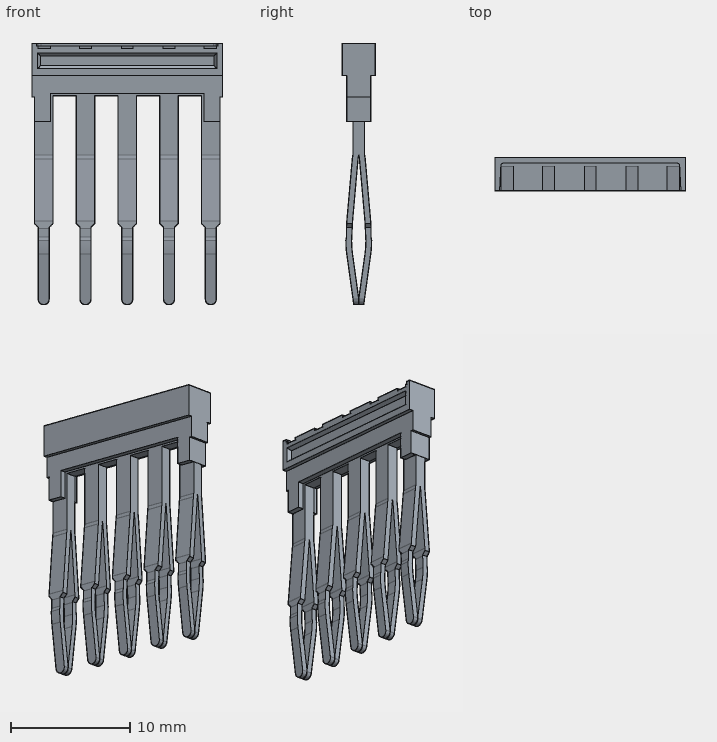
import cadquery as cq
import math


LENGTH = 16.0
HEAD_DEPTH = 2.8
HEAD_HEIGHT = 2.7
BODY_DEPTH = 2.04
BODY_BOTTOM = -4.22
STEP_Z = -4.5
LEG_BOTTOM = -6.55
LEG_INNER_X = 6.45

TRAY_DEPTH = 0.22
TRAY_BACK_Y = 0.93
TRAY_BACK_HALF = 7.48
TRAY_FRONT_HALF = 7.6
TRAY_CORNER_RADIUS = 0.25

GROOVE_WIDTH = 1.0
GROOVE_BACK_Y = 0.65
GROOVE_FRONT_DEPTH = 0.22

WINDOW_LENGTH = 15.0
WINDOW_TOP = -0.82
WINDOW_BOTTOM = -2.1
WINDOW_INSET = 0.23
WINDOW_DEPTH = 0.33

CONTACTS = 5
PITCH = 3.5
COMB_THICKNESS = 1.0
COMB_BOTTOM = -21.9
SPINE_TOP = -HEAD_HEIGHT
SPINE_BOTTOM = -4.39
BLADE_WIDTH = 1.56
TIP_WIDTH = 0.93
SHOULDER_TOP = -15.1
END_WALL = 0.3

ARM_THICKNESS = COMB_THICKNESS / 2
SPLIT_Z = -9.35
SPREAD_Z = -9.68
SPREAD_Y = 0.55
BLADE_END_Z = -14.9
BLADE_END_Y = 1.01
WAIST_Z = -15.5
WAIST_Y = 1.04
BULGE_START_Z = -16.24
BULGE_Z = -16.53
BULGE_Y = 1.09
CURVE_END_Z = -17.65
CLOSING_ANGLE = math.radians(7.9)
ARM_HALF_GAP = 0.02

half_length = LENGTH / 2
contact_xs = [(i - (CONTACTS - 1) / 2) * PITCH for i in range(CONTACTS)]
comb_half = contact_xs[-1] + BLADE_WIDTH / 2


def box(x0, x1, y0, y1, z0, z1):
    """A box between two opposite corners."""
    return cq.Workplane("XY").box(x1 - x0, y1 - y0, z1 - z0, centered=False).translate((x0, y0, z0))


def contact_outline(x):
    """Front shape of one contact: stem and blade, tapered shoulder, narrow tip with a round end."""
    blade = BLADE_WIDTH / 2
    tip = TIP_WIDTH / 2
    shoulder_bottom = SHOULDER_TOP - (blade - tip)
    round_z = COMB_BOTTOM + tip
    return (
        cq.Workplane("XZ")
        .moveTo(x - blade, SPINE_TOP)
        .lineTo(x + blade, SPINE_TOP)
        .lineTo(x + blade, SHOULDER_TOP)
        .lineTo(x + tip, shoulder_bottom)
        .lineTo(x + tip, round_z)
        .threePointArc((x, COMB_BOTTOM), (x - tip, round_z))
        .lineTo(x - tip, shoulder_bottom)
        .lineTo(x - blade, SHOULDER_TOP)
        .close()
        .extrude(HEAD_DEPTH / 2, both=True)
    )


def arm_side():
    """Side shape of the +Y arm with its half of the stem, extruded over the comb length."""
    radius = (BULGE_Z - CURVE_END_Z) / math.sin(CLOSING_ANGLE)

    def on_curve(angle, offset):
        y = BULGE_Y + offset - radius * (1 - math.cos(angle))
        return y, BULGE_Z - radius * math.sin(angle)

    curve_middle = on_curve(CLOSING_ANGLE / 2, 0)
    curve_end = on_curve(CLOSING_ANGLE, 0)
    inner_middle = on_curve(CLOSING_ANGLE / 2, -ARM_THICKNESS)
    inner_end = on_curve(CLOSING_ANGLE, -ARM_THICKNESS)
    closing_slope = math.tan(CLOSING_ANGLE)
    tip_y = curve_end[0] - (CURVE_END_Z - COMB_BOTTOM) * closing_slope
    meeting_z = inner_end[1] - (inner_end[0] - ARM_HALF_GAP) / closing_slope
    return (
        cq.Workplane("YZ")
        .moveTo(0, SPINE_TOP)
        .lineTo(COMB_THICKNESS / 2, SPINE_TOP)
        .lineTo(COMB_THICKNESS / 2, SPLIT_Z)
        .lineTo(SPREAD_Y, SPREAD_Z)
        .lineTo(BLADE_END_Y, BLADE_END_Z)
        .lineTo(WAIST_Y, WAIST_Z)
        .lineTo(WAIST_Y, BULGE_START_Z)
        .lineTo(BULGE_Y, BULGE_Z)
        .threePointArc(curve_middle, curve_end)
        .lineTo(tip_y, COMB_BOTTOM)
        .lineTo(ARM_HALF_GAP, COMB_BOTTOM)
        .lineTo(ARM_HALF_GAP, meeting_z)
        .lineTo(*inner_end)
        .threePointArc(inner_middle, (BULGE_Y - ARM_THICKNESS, BULGE_Z))
        .lineTo(WAIST_Y - ARM_THICKNESS, WAIST_Z)
        .lineTo(BLADE_END_Y - ARM_THICKNESS, BLADE_END_Z)
        .lineTo(SPREAD_Y - ARM_THICKNESS, SPREAD_Z)
        .lineTo(0, SPLIT_Z)
        .close()
        .extrude(half_length, both=True)
    )


def make_comb():
    arm = arm_side()
    side = arm.union(arm.mirror("XZ"))
    half_thickness = COMB_THICKNESS / 2
    comb = box(-comb_half, comb_half, -half_thickness, half_thickness, SPINE_BOTTOM, SPINE_TOP)
    for x in contact_xs:
        comb = comb.union(contact_outline(x).intersect(side))
    inner_half = comb_half - END_WALL
    for x0, x1 in [(-comb_half, -inner_half), (inner_half, comb_half)]:
        comb = comb.cut(box(x0, x1, -half_thickness, half_thickness, LEG_BOTTOM, SPINE_TOP))
    return comb


def housing_block():
    """Head, thinner body below it and the two end legs."""
    half_head = HEAD_DEPTH / 2
    half_body = BODY_DEPTH / 2
    head = box(-half_length, half_length, -half_head, half_head, -HEAD_HEIGHT, 0)
    body = (
        cq.Workplane("XZ")
        .moveTo(-half_length, -HEAD_HEIGHT)
        .lineTo(half_length, -HEAD_HEIGHT)
        .lineTo(half_length, STEP_Z)
        .lineTo(comb_half, STEP_Z)
        .lineTo(comb_half, LEG_BOTTOM)
        .lineTo(LEG_INNER_X, LEG_BOTTOM)
        .lineTo(LEG_INNER_X, BODY_BOTTOM)
        .lineTo(-LEG_INNER_X, BODY_BOTTOM)
        .lineTo(-LEG_INNER_X, LEG_BOTTOM)
        .lineTo(-comb_half, LEG_BOTTOM)
        .lineTo(-comb_half, STEP_Z)
        .lineTo(-half_length, STEP_Z)
        .close()
        .extrude(half_body, both=True)
    )
    return head.union(body)


def tray():
    """Shallow recess in the top, slightly wider at its open front."""
    front = -HEAD_DEPTH / 2
    return (
        cq.Workplane("XY")
        .moveTo(-TRAY_FRONT_HALF, front)
        .lineTo(TRAY_FRONT_HALF, front)
        .lineTo(TRAY_BACK_HALF, TRAY_BACK_Y)
        .lineTo(-TRAY_BACK_HALF, TRAY_BACK_Y)
        .close()
        .extrude(-TRAY_DEPTH)
        .edges("|Z and >Y")
        .fillet(TRAY_CORNER_RADIUS)
    )


def groove(x0, x1):
    """Wedge below the tray floor, deepest at the front."""
    front = -HEAD_DEPTH / 2
    return (
        cq.Workplane("YZ", origin=(x0, 0, 0))
        .moveTo(GROOVE_BACK_Y, -TRAY_DEPTH)
        .lineTo(front, -TRAY_DEPTH)
        .lineTo(front, -TRAY_DEPTH - GROOVE_FRONT_DEPTH)
        .close()
        .extrude(x1 - x0)
    )


def window():
    """Long pocket in the front face that narrows towards its floor."""
    height = WINDOW_TOP - WINDOW_BOTTOM
    middle_z = (WINDOW_TOP + WINDOW_BOTTOM) / 2
    return (
        cq.Workplane("XZ", origin=(0, -HEAD_DEPTH / 2, middle_z))
        .rect(WINDOW_LENGTH, height)
        .workplane(offset=-WINDOW_DEPTH)
        .rect(WINDOW_LENGTH - 2 * WINDOW_INSET, height - 2 * WINDOW_INSET)
        .loft(ruled=True)
    )


def make_housing(comb):
    housing = housing_block().cut(tray()).cut(window())
    for x in contact_xs[1:-1]:
        housing = housing.cut(groove(x - GROOVE_WIDTH / 2, x + GROOVE_WIDTH / 2))
    housing = housing.cut(groove(-TRAY_BACK_HALF, -LEG_INNER_X))
    housing = housing.cut(groove(LEG_INNER_X, TRAY_BACK_HALF))
    return housing.cut(comb)


comb = make_comb()
housing = make_housing(comb)

result = cq.Compound.makeCompound([housing.solids().val(), comb.solids().val()])